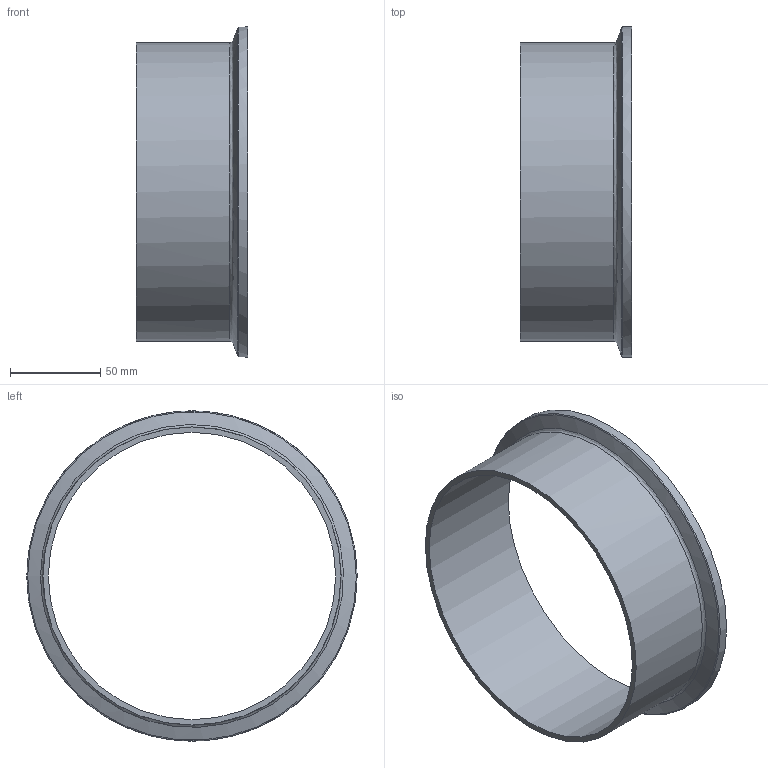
import cadquery as cq
import math

length = 62.0
bore_diameter = 159.2
tube_diameter = 165.2
flange_diameter = 183.0
rim_width = 5.5
cone_angle = 20.0
neck_fillet_radius = 2.0
rim_fillet_radius = 0.7

bore_radius = bore_diameter / 2
tube_radius = tube_diameter / 2
flange_radius = flange_diameter / 2
cone_end_x = length - rim_width
cone_depth = (flange_radius - tube_radius) * math.tan(math.radians(cone_angle))
cone_start_x = cone_end_x - cone_depth


def make_flanged_tube():
    """Tube with a conical-backed flange, revolved about X with sharp corners."""
    half_section = (
        cq.Workplane("XY")
        .moveTo(0, bore_radius)
        .lineTo(0, tube_radius)
        .lineTo(cone_start_x, tube_radius)
        .lineTo(cone_end_x, flange_radius)
        .lineTo(length, flange_radius)
        .lineTo(length, bore_radius)
        .close()
    )
    return half_section.revolve(360, (0, 0, 0), (1, 0, 0))


def fillet_circle(body, x, radius, fillet_radius):
    """Round the circular edge of the given radius that lies at position x."""
    margin = 0.1
    reach = radius + margin
    edge_zone = cq.selectors.BoxSelector(
        (x - margin, -reach, -reach),
        (x + margin, reach, reach),
        boundingbox=True,
    )
    return body.edges(edge_zone).fillet(fillet_radius)


result = make_flanged_tube()
result = fillet_circle(result, cone_start_x, tube_radius, neck_fillet_radius)
result = fillet_circle(result, cone_end_x, flange_radius, rim_fillet_radius)